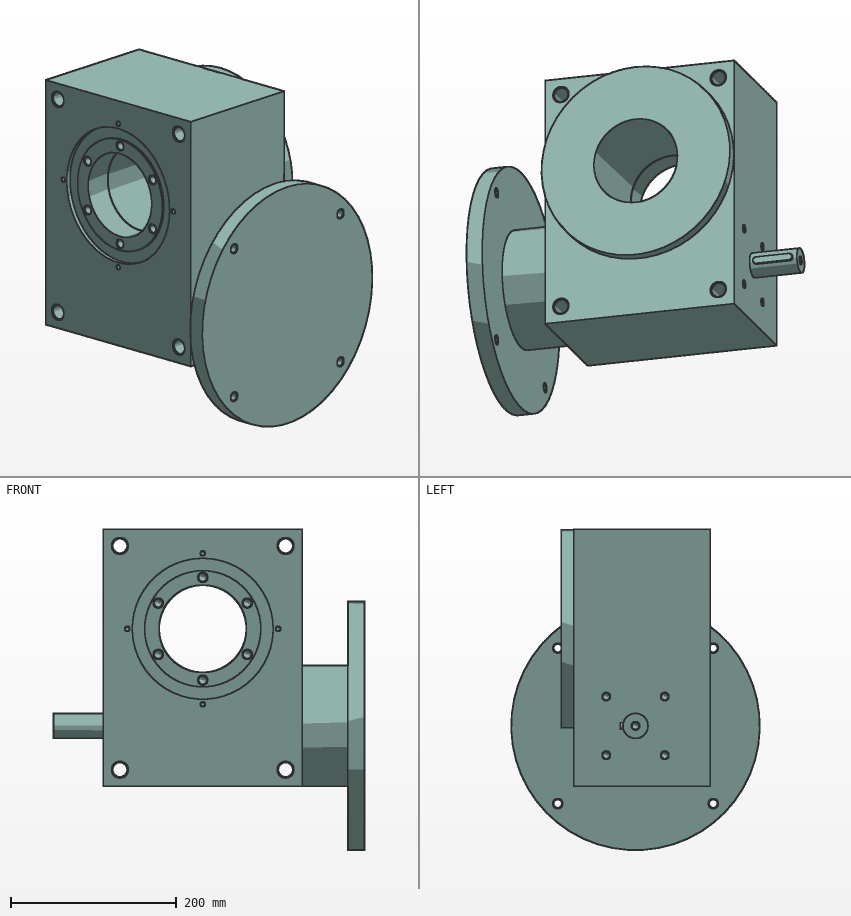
import cadquery as cq
import math


housing_length = 240.0
housing_depth = 165.0
housing_height = 310.0
housing_front = -90.0
housing_back = housing_front + housing_depth

neck_diameter = 146.0
neck_length = 55.0
flange_diameter = 300.0
flange_thickness = 20.0
flange_hole_count = 4
flange_hole_diameter = 10.0
flange_hole_mouth = 12.0
flange_hole_circle = 265.0

housing_bottom = -neck_diameter / 2
housing_top = housing_bottom + housing_height

mount_hole_diameter = 17.5
mount_hole_mouth = 20.0
mount_hole_inset = 20.0

input_hole_count = 4
input_hole_diameter = 8.5
input_hole_mouth = 10.0
input_hole_circle = 100.0
input_hole_depth = 20.0

rotor_x = housing_length / 2
rotor_z = housing_top - rotor_x
disc_diameter = 239.0
disc_thickness = 15.0
hub_diameter = 140.0
hub_setback = 3.0
front_bore_diameter = 105.0
rear_bore_diameter = 106.0
front_bore_length = 35.0
hub_hole_count = 6
hub_hole_diameter = 10.0
hub_hole_mouth = 12.0
hub_hole_circle = 124.0
hub_hole_depth = 20.0

recess_diameter = 170.0
recess_depth = 5.8
cover_hole_count = 4
cover_hole_diameter = 5.0
cover_hole_mouth = 6.0
cover_hole_circle = 182.0
cover_hole_depth = 10.0

shaft_diameter = 30.0
shaft_length = 60.0
center_hole_diameter = 8.5
center_hole_mouth = 10.0
center_hole_depth = 20.0
key_length = 50.0
key_width = 8.0
key_top = 18.0
key_end_gap = 5.0

drill_point_angle = 118

X_AXIS = cq.Vector(1, 0, 0)
Y_AXIS = cq.Vector(0, 1, 0)


def cylinder(diameter, length, start, direction):
    return cq.Workplane(cq.Solid.makeCylinder(diameter / 2, length, cq.Vector(*start), direction))


def mouth_chamfer(diameter, mouth_diameter, start, direction):
    """45 degree chamfer from the mouth diameter down to the hole diameter."""
    depth = (mouth_diameter - diameter) / 2
    cone = cq.Solid.makeCone(mouth_diameter / 2, diameter / 2, depth, cq.Vector(*start), direction)
    return cq.Workplane(cone)


def blind_hole(diameter, mouth_diameter, depth, start, direction):
    """Chamfered hole with a conical drill point below its full-diameter depth."""
    radius = diameter / 2
    point_height = radius / math.tan(math.radians(drill_point_angle / 2))
    point_start = cq.Vector(*start) + direction * depth
    point = cq.Solid.makeCone(radius, 0, point_height, point_start, direction)
    hole = cylinder(diameter, depth, start, direction).union(cq.Workplane(point))
    return hole.union(mouth_chamfer(diameter, mouth_diameter, start, direction))


def through_hole(diameter, mouth_diameter, length, start, direction):
    """Hole chamfered at both ends."""
    end = (cq.Vector(*start) + direction * length).toTuple()
    hole = cylinder(diameter, length, start, direction)
    hole = hole.union(mouth_chamfer(diameter, mouth_diameter, start, direction))
    return hole.union(mouth_chamfer(diameter, mouth_diameter, end, -direction))


def circle_points(diameter, count, first_angle):
    """Evenly spaced points on a circle about the origin."""
    angles = [math.radians(first_angle + 360 * i / count) for i in range(count)]
    return [(diameter / 2 * math.cos(a), diameter / 2 * math.sin(a)) for a in angles]


def make_housing():
    flange_start = housing_length + neck_length
    housing = cq.Workplane("XY").box(
        housing_length, housing_depth, housing_height, centered=False
    ).translate((0, housing_front, housing_bottom))
    housing = housing.union(cylinder(neck_diameter, neck_length, (housing_length, 0, 0), X_AXIS))
    housing = housing.union(cylinder(flange_diameter, flange_thickness, (flange_start, 0, 0), X_AXIS))

    for y, z in circle_points(flange_hole_circle, flange_hole_count, 45):
        start = (flange_start, y, z)
        housing = housing.cut(
            through_hole(flange_hole_diameter, flange_hole_mouth, flange_thickness, start, X_AXIS)
        )

    for x in (mount_hole_inset, housing_length - mount_hole_inset):
        for z in (housing_bottom + mount_hole_inset, housing_top - mount_hole_inset):
            start = (x, housing_front, z)
            housing = housing.cut(
                through_hole(mount_hole_diameter, mount_hole_mouth, housing_depth, start, Y_AXIS)
            )

    for y, z in circle_points(input_hole_circle, input_hole_count, 45):
        housing = housing.cut(
            blind_hole(input_hole_diameter, input_hole_mouth, input_hole_depth, (0, y, z), X_AXIS)
        )

    rotor_front = (rotor_x, housing_front, rotor_z)
    housing = housing.cut(cylinder(hub_diameter, housing_depth, rotor_front, Y_AXIS))
    housing = housing.cut(cylinder(recess_diameter, recess_depth, rotor_front, Y_AXIS))
    for x, z in circle_points(cover_hole_circle, cover_hole_count, 0):
        start = (rotor_x + x, housing_front, rotor_z + z)
        housing = housing.cut(
            blind_hole(cover_hole_diameter, cover_hole_mouth, cover_hole_depth, start, Y_AXIS)
        )
    return housing


def make_rotor():
    hub_front = housing_front + hub_setback
    hub_length = housing_back - hub_front
    hub_start = (rotor_x, hub_front, rotor_z)
    rotor = cylinder(hub_diameter, hub_length, hub_start, Y_AXIS)
    rotor = rotor.union(cylinder(disc_diameter, disc_thickness, (rotor_x, housing_back, rotor_z), Y_AXIS))

    rear_bore_length = hub_length + disc_thickness - front_bore_length
    rear_bore_start = (rotor_x, hub_front + front_bore_length, rotor_z)
    rotor = rotor.cut(cylinder(front_bore_diameter, front_bore_length, hub_start, Y_AXIS))
    rotor = rotor.cut(cylinder(rear_bore_diameter, rear_bore_length, rear_bore_start, Y_AXIS))

    for x, z in circle_points(hub_hole_circle, hub_hole_count, 90):
        start = (rotor_x + x, hub_front, rotor_z + z)
        rotor = rotor.cut(blind_hole(hub_hole_diameter, hub_hole_mouth, hub_hole_depth, start, Y_AXIS))
    return rotor


def make_input_shaft():
    """Shaft ending at the housing's input face, in one piece with its round-ended key."""
    shaft_end = (-shaft_length, 0, 0)
    shaft = cylinder(shaft_diameter, shaft_length, shaft_end, X_AXIS)
    key_center_x = -shaft_length + key_end_gap + key_length / 2
    key = (
        cq.Workplane("XZ")
        .center(key_center_x, 0)
        .slot2D(key_length, key_width)
        .extrude(-key_top)
    )
    shaft = shaft.union(key)
    return shaft.cut(
        blind_hole(center_hole_diameter, center_hole_mouth, center_hole_depth, shaft_end, X_AXIS)
    )


housing = make_housing()
rotor = make_rotor()
input_shaft = make_input_shaft()

result = cq.Compound.makeCompound([housing.val(), rotor.val(), input_shaft.val()])